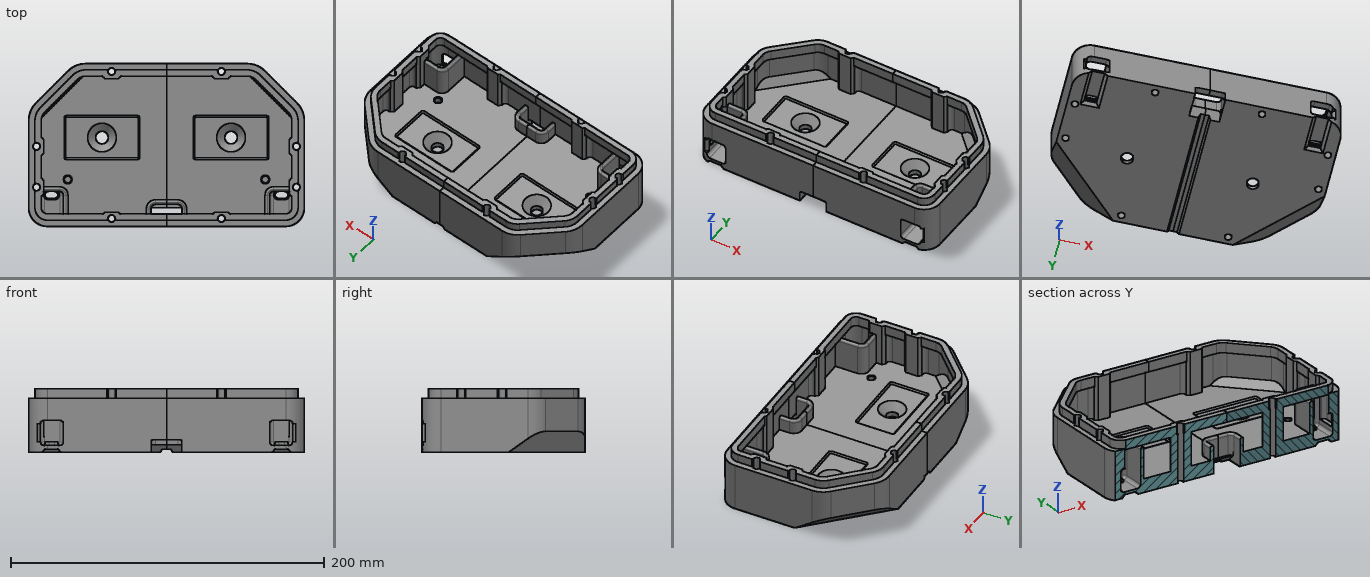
import cadquery as cq
import math

LENGTH = 176.0
WIDTH = 104.0
HEIGHT = 40.7

WALL = 4.0
LIP_THICKNESS = 4.0
LIP_HEIGHT = 6.0
LIP_SEAT = 1.0
FLOOR = 10.0
FRONT_RADIUS = 12.0
BACK_RADIUS = 16.0
BACK_CUT = 30.0
SLOPE_OUTSIDE = 13.4
SLOPE_INSIDE = 5.1
SHOULDER = HEIGHT - LIP_HEIGHT
SEAT_BOTTOM = SHOULDER - LIP_SEAT

SCREW_DIAMETER = 4.4
SCREW_INSET = 5.1
SCREW_X = 35.0
SIDE_SCREW_Y = (-0.9, -27.0)
POST_FACE = 9.7
FRONT_POST_FACE = 9.2
POST_FACE_WIDTH = 8.6
POST_WIDTH = 12.1
POST_CHAMFER = (POST_WIDTH - POST_FACE_WIDTH) / 2
POST_FILLET = 2.6
NOTCH_MOUTH = 6.0
NOTCH_FLARE = 0.7

MOUNT_X = 41.2
MOUNT_Y = 4.8
RECESS_LENGTH = 48.2
RECESS_WIDTH = 28.2
RECESS_DEPTH = 1.0
RECESS_RADIUS = 1.5
MOUNT_DIAMETER = 8.0
SINK_DIAMETER = 18.3

PILOT_X = 63.0
PILOT_Y = -22.0
PILOT_DIAMETER = 4.4
PILOT_MOUTH = 5.5
PILOT_DEPTH = 5.0

SHAFT_WALL = 3.0
RIM_FILLET = 0.49 * SHAFT_WALL
SHAFT_RADIUS = 2.3

CORNER_X_INNER = 65.8
CORNER_X_OUTER = 80.5
CORNER_FLARE = 2.1
FLARE_DEPTH = 2.0
CORNER_BACK = 22.4
CORNER_BOTTOM = 4.4
CORNER_DUCT_TOP = 20.5
CORNER_RIM = 32.5
DRAIN_X = 73.4
DRAIN_Y = -31.9
DRAIN_LENGTH = 8.1
DRAIN_WIDTH = 4.4
DRAIN_CHAMFER = 0.9
DRAIN_GROOVE_WIDTH = 12.3
DRAIN_GROOVE_HEIGHT = 2.1

MIDDLE_WIDTH = 19.7
MIDDLE_BACK = 14.0
MIDDLE_DUCT_TOP = 8.1
MIDDLE_RIM = 20.2
MIDDLE_RADIUS = 2.8
MIDDLE_DUCT_RADIUS = 1.4
LEDGE_HEIGHT = 5.0
LEDGE_FRONT = 12.0
BACK_GROOVE_WIDTH = 8.0
BACK_GROOVE_TOP = 5.5
BACK_GROOVE_HEIGHT = 2.0

FRONT = -WIDTH / 2
SIDES = (-1, 1)
MARGIN = 8.8


def footprint(inset, bottom, top):
    """Prism of the outline, moved inward by inset, from Z = bottom to Z = top."""
    x = LENGTH / 2 - inset
    y = WIDTH / 2 - inset
    cut = BACK_CUT - inset * (2 - math.sqrt(2))
    outline = [(-x, -y), (x, -y), (x, y - cut), (x - cut, y), (cut - x, y), (-x, y - cut)]
    prism = cq.Workplane("XY").workplane(offset=bottom).polyline(outline).close().extrude(top - bottom)
    prism = prism.edges("|Z and <Y").fillet(FRONT_RADIUS - inset)
    back_half = cq.selectors.BoxSelector((-LENGTH, 0, 0), (LENGTH, WIDTH, HEIGHT))
    return prism.edges("|Z").edges(back_half).fillet(BACK_RADIUS - inset)


def block(x_start, x_end, y_start, y_end, bottom, top):
    size = (x_end - x_start, y_end - y_start, top - bottom)
    return cq.Workplane("XY").box(*size, centered=False).translate((x_start, y_start, bottom))


def corner_slopes(solid, inset, height):
    """Cut 45 degree slopes under the back corners, starting at Z = height on the cut faces."""
    middle = BACK_CUT / 2 + inset / math.sqrt(2)
    reach = HEIGHT
    wedge = (
        cq.Workplane("XZ")
        .polyline([(reach, reach), (-reach, -reach), (reach, -reach)])
        .close()
        .extrude(LENGTH / 2, both=True)
        .rotate((0, 0, 0), (0, 0, 1), 45)
        .translate((LENGTH / 2 - middle, WIDTH / 2 - middle, height))
    )
    return solid.cut(wedge).cut(wedge.mirror("YZ"))


def screw_places():
    """Centre on the outer face, inward angle and post face distance of every lid screw."""
    places = []
    for side in SIDES:
        places.append((side * SCREW_X, FRONT, 0, FRONT_POST_FACE))
        places.append((side * SCREW_X, WIDTH / 2, 180, POST_FACE))
        for y in SIDE_SCREW_Y:
            places.append((side * LENGTH / 2, y, 90 * side, POST_FACE))
    return places


def at_screw(solid, x, y, angle):
    """Move a shape made at the origin, with +Y pointing into the part, to a screw."""
    return solid.rotate((0, 0, 0), (0, 0, 1), angle).translate((x, y, 0))


def screw_post(face_distance):
    half = POST_WIDTH / 2
    foot = half + POST_FILLET
    face = POST_FACE_WIDTH / 2
    knee = WALL + POST_FILLET
    return (
        cq.Workplane("XY")
        .workplane(offset=FLOOR - LIP_SEAT)
        .moveTo(-foot, WALL)
        .radiusArc((-half, knee), -POST_FILLET)
        .lineTo(-half, face_distance - POST_CHAMFER)
        .lineTo(-face, face_distance)
        .lineTo(face, face_distance)
        .lineTo(half, face_distance - POST_CHAMFER)
        .lineTo(half, knee)
        .radiusArc((foot, WALL), -POST_FILLET)
        .close()
        .extrude(HEIGHT - FLOOR + LIP_SEAT)
    )


def screw_cut():
    """Through hole, with a flared notch where it breaks out of the lip."""
    hole = cq.Workplane("XY").center(0, SCREW_INSET).circle(SCREW_DIAMETER / 2).extrude(HEIGHT)
    half = NOTCH_MOUTH / 2
    notch = (
        cq.Workplane("XY")
        .workplane(offset=SHOULDER)
        .polyline([(-half, WALL), (half, WALL), (half - NOTCH_FLARE, WALL + NOTCH_FLARE),
                   (NOTCH_FLARE - half, WALL + NOTCH_FLARE)])
        .close()
        .extrude(LIP_HEIGHT)
    )
    return hole.union(notch)


def shell():
    """Outer body with its lip, hollowed out above the floor."""
    body = corner_slopes(footprint(0, 0, SHOULDER), 0, SLOPE_OUTSIDE)
    lip = footprint(WALL, SEAT_BOTTOM, HEIGHT)
    cavity = corner_slopes(footprint(WALL, FLOOR, SEAT_BOTTOM), WALL, FLOOR + SLOPE_INSIDE)
    opening = footprint(WALL + LIP_THICKNESS, SEAT_BOTTOM, HEIGHT)
    return body.union(lip).cut(cavity).cut(opening)


def shaft_rim(x_start, x_end, depth, top, radius):
    """Standing wall around a shaft, with a rounded rim, kept inside the side walls."""
    y_start = FRONT - MARGIN
    y_end = FRONT + depth
    outer = block(x_start - SHAFT_WALL, x_end + SHAFT_WALL, y_start, y_end + SHAFT_WALL, FLOOR - LIP_SEAT, top)
    outer = outer.edges("|Z and >Y").fillet(radius + SHAFT_WALL)
    inner = block(x_start, x_end, y_start, y_end, 0, HEIGHT).edges("|Z and >Y").fillet(radius)
    wall = outer.cut(inner).faces(">Z").edges("not <Y").fillet(RIM_FILLET)
    return wall.intersect(footprint(WALL / 2, 0, SEAT_BOTTOM))


def corner_rim():
    return shaft_rim(CORNER_X_INNER, LENGTH / 2 + MARGIN, CORNER_BACK, CORNER_RIM, SHAFT_RADIUS)


def corner_duct():
    """Duct from the front face to the shaft, flared towards the outer corner."""
    front = FRONT - MARGIN
    back = FRONT + CORNER_BACK
    duct = block(CORNER_X_INNER, CORNER_X_OUTER, front, back, CORNER_BOTTOM, CORNER_DUCT_TOP)
    duct = duct.edges("|Y or >Y").fillet(SHAFT_RADIUS)
    flare_x = CORNER_X_OUTER + CORNER_FLARE
    flare_y = FRONT + FLARE_DEPTH
    flare = (
        cq.Workplane("XY")
        .workplane(offset=CORNER_BOTTOM + SHAFT_RADIUS)
        .polyline([(CORNER_X_INNER + SHAFT_RADIUS, front), (flare_x, front), (flare_x, flare_y),
                   (CORNER_X_OUTER, flare_y + CORNER_FLARE),
                   (CORNER_X_INNER + SHAFT_RADIUS, flare_y + CORNER_FLARE)])
        .close()
        .extrude(CORNER_DUCT_TOP - CORNER_BOTTOM - 2 * SHAFT_RADIUS)
    )
    return duct.union(flare)


def drain_outline(height, widening=0):
    slot = cq.Workplane("XY").workplane(offset=height).center(DRAIN_X, DRAIN_Y)
    return slot.slot2D(DRAIN_LENGTH + 2 * widening, DRAIN_WIDTH + 2 * widening)


def drain():
    """Slot with a chamfered mouth in the shaft bottom, and the groove that leads it to the front."""
    slot = drain_outline(0).extrude(CORNER_BOTTOM)
    chamfer = drain_outline(CORNER_BOTTOM, DRAIN_CHAMFER).extrude(-DRAIN_CHAMFER, taper=45)
    clearance = drain_outline(CORNER_BOTTOM, DRAIN_CHAMFER).extrude(SHAFT_RADIUS)
    groove_back = DRAIN_Y + DRAIN_WIDTH / 2 + DRAIN_GROOVE_HEIGHT
    groove_front = FRONT - MARGIN
    groove = (
        cq.Workplane("XY")
        .center(DRAIN_X, (groove_back + groove_front) / 2)
        .rect(DRAIN_GROOVE_WIDTH, groove_back - groove_front)
        .extrude(DRAIN_GROOVE_HEIGHT, taper=45)
    )
    return slot.union(chamfer).union(clearance).union(groove)


def corner_shaft():
    """Shaft with its duct and its drain."""
    back = FRONT + CORNER_BACK
    shaft = block(CORNER_X_INNER, CORNER_X_OUTER, FRONT, back, FLOOR - LIP_SEAT, CORNER_RIM)
    shaft = shaft.edges("|Z and >Y").fillet(SHAFT_RADIUS).intersect(footprint(WALL, 0, HEIGHT))
    return shaft.union(corner_duct()).union(drain())


def middle_rim():
    return shaft_rim(-MIDDLE_WIDTH / 2, MIDDLE_WIDTH / 2, MIDDLE_BACK, MIDDLE_RIM, MIDDLE_RADIUS)


def middle_shaft():
    """Shaft, its front duct, the open bottom behind it and the groove to the back edge."""
    half = MIDDLE_WIDTH / 2
    back = FRONT + MIDDLE_BACK
    shaft = block(-half, half, FRONT + WALL, back, LEDGE_HEIGHT, MIDDLE_RIM)
    shaft = shaft.edges("|Z and >Y").fillet(MIDDLE_RADIUS)
    ledge = FRONT + LEDGE_FRONT
    duct = block(-half, half, FRONT - MARGIN, ledge, 0, MIDDLE_DUCT_TOP)
    duct = duct.edges("|Y and >Z").fillet(MIDDLE_DUCT_RADIUS)
    undercut = (
        cq.Workplane("YZ")
        .polyline([(ledge, 0), (ledge + LEDGE_HEIGHT, 0), (ledge, LEDGE_HEIGHT)])
        .close()
        .extrude(half, both=True)
    )
    foot = BACK_GROOVE_WIDTH / 2
    roof = BACK_GROOVE_TOP / 2
    groove = (
        cq.Workplane("XZ")
        .polyline([(-foot, 0), (foot, 0), (roof, BACK_GROOVE_HEIGHT), (-roof, BACK_GROOVE_HEIGHT)])
        .close()
        .extrude(WIDTH, both=True)
    )
    return shaft.union(duct).union(undercut).union(groove)


def mount():
    """Recess with sloping sides and a countersunk through hole."""
    recess = (
        cq.Workplane("XY")
        .workplane(offset=FLOOR)
        .sketch()
        .rect(RECESS_LENGTH, RECESS_WIDTH)
        .vertices()
        .fillet(RECESS_RADIUS)
        .finalize()
        .extrude(-RECESS_DEPTH, taper=45)
    )
    seat = FLOOR - RECESS_DEPTH
    sink = cq.Workplane("XY").workplane(offset=seat).circle(SINK_DIAMETER / 2)
    sink = sink.extrude((MOUNT_DIAMETER - SINK_DIAMETER) / 2, taper=45)
    hole = cq.Workplane("XY").circle(MOUNT_DIAMETER / 2).extrude(seat)
    return recess.union(sink).union(hole)


def pilot_hole():
    chamfer = (PILOT_MOUTH - PILOT_DIAMETER) / 2
    top = cq.Workplane("XY").workplane(offset=FLOOR)
    hole = top.circle(PILOT_DIAMETER / 2).extrude(-PILOT_DEPTH)
    mouth = top.circle(PILOT_MOUTH / 2).extrude(-chamfer, taper=45)
    return hole.union(mouth)


def whole_housing():
    housing = shell()
    for x, y, angle, face_distance in screw_places():
        housing = housing.union(at_screw(screw_post(face_distance), x, y, angle))
    housing = housing.union(middle_rim()).cut(middle_shaft())
    rim = corner_rim()
    shaft = corner_shaft()
    housing = housing.union(rim).union(rim.mirror("YZ"))
    housing = housing.cut(shaft).cut(shaft.mirror("YZ"))
    for side in SIDES:
        housing = housing.cut(mount().translate((side * MOUNT_X, MOUNT_Y, 0)))
        housing = housing.cut(pilot_hole().translate((side * PILOT_X, PILOT_Y, 0)))
    for x, y, angle, _ in screw_places():
        housing = housing.cut(at_screw(screw_cut(), x, y, angle))
    return housing


def housing_half(housing, side):
    """The part of the housing on one side of the middle joint."""
    x_start, x_end = sorted((0, side * LENGTH))
    return housing.intersect(block(x_start, x_end, -WIDTH, WIDTH, -MARGIN, HEIGHT + MARGIN))


housing = whole_housing()
halves = [housing_half(housing, side) for side in SIDES]

result = cq.Compound.makeCompound([half.val() for half in halves])